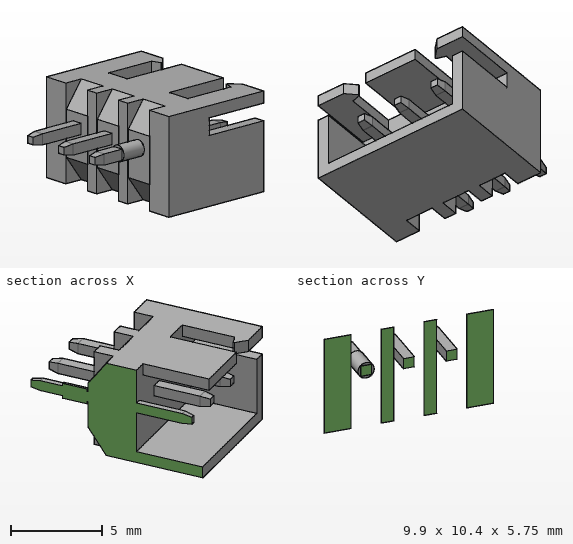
import cadquery as cq


HOUSING_WIDTH = 9.9
HOUSING_LENGTH = 7.0
HOUSING_HEIGHT = 5.75
WALL = 0.7
TOP_Z = 2.35
BOTTOM_Z = TOP_Z - HOUSING_HEIGHT
SIDE_X = HOUSING_WIDTH / 2

CAVITY_DEPTH = 4.0
CAVITY_FLOOR_Y = HOUSING_LENGTH - CAVITY_DEPTH
CAVITY_TOP_Z = TOP_Z - WALL
SIDE_SLOT_HEIGHT = 1.0
TOP_SLOT_WIDTH = 1.5
TOP_SLOT_INSET = 1.75

HOOK_REACH = 0.57
HOOK_TIP_SETBACK = HOOK_REACH
HOOK_TIP_FLAT = 0.08
HOOK_LENGTH = 0.83

RECESS_WIDTH = 1.75
RECESS_DEPTH = 0.05
RECESS_RIM_DEPTH = 1.15
RECESS_SLOPE_HEIGHT = 1.5

PIN_COUNT = 3
PIN_PITCH = 2.5
PIN_SIZE = 0.64
PIN_TIP_SIZE = 0.44
PIN_TIP_LENGTH = 0.58
PIN_TAIL = 3.4
PIN_SETBACK = 0.65

COLLAR_DIAMETER = 0.95
COLLAR_LENGTH = 1.5

PIN_XS = [(i - (PIN_COUNT - 1) / 2) * PIN_PITCH for i in range(PIN_COUNT)]


def box(x0, x1, y0, y1, z0, z1):
    """Axis-aligned box between two opposite corners."""
    return cq.Workplane("XY").box(x1 - x0, y1 - y0, z1 - z0, centered=False).translate((x0, y0, z0))


def make_shell():
    """Housing block with the mating cavity and the slot across both side walls."""
    block = box(-SIDE_X, SIDE_X, 0, HOUSING_LENGTH, BOTTOM_Z, TOP_Z)
    cavity = box(
        -SIDE_X + WALL, SIDE_X - WALL,
        CAVITY_FLOOR_Y, HOUSING_LENGTH,
        BOTTOM_Z + WALL, CAVITY_TOP_Z,
    )
    side_slots = box(
        -SIDE_X, SIDE_X,
        CAVITY_FLOOR_Y, HOUSING_LENGTH,
        CAVITY_TOP_Z - SIDE_SLOT_HEIGHT, CAVITY_TOP_Z,
    )
    return block.cut(cavity).cut(side_slots)


def make_left_top_slot():
    """Cutter for the slot in the top wall, leaving the hook on its outer edge."""
    outer_x = -SIDE_X + TOP_SLOT_INSET
    inner_x = outer_x + TOP_SLOT_WIDTH
    tip_x = outer_x + HOOK_REACH
    tip_y = HOUSING_LENGTH - HOOK_TIP_SETBACK
    return (
        cq.Workplane("XY", origin=(0, 0, CAVITY_TOP_Z))
        .moveTo(inner_x, HOUSING_LENGTH)
        .lineTo(inner_x, CAVITY_FLOOR_Y)
        .lineTo(outer_x, CAVITY_FLOOR_Y)
        .lineTo(outer_x, HOUSING_LENGTH - HOOK_LENGTH)
        .lineTo(tip_x, tip_y - HOOK_TIP_FLAT)
        .lineTo(tip_x, tip_y)
        .lineTo(outer_x, HOUSING_LENGTH)
        .close()
        .extrude(WALL)
    )


def make_recess(x):
    """Cutter for one pin recess: a shallow flat floor sloping deeper towards top and bottom."""
    return (
        cq.Workplane("YZ", origin=(x - RECESS_WIDTH / 2, 0, 0))
        .moveTo(0, BOTTOM_Z)
        .lineTo(RECESS_RIM_DEPTH, BOTTOM_Z)
        .lineTo(RECESS_DEPTH, BOTTOM_Z + RECESS_SLOPE_HEIGHT)
        .lineTo(RECESS_DEPTH, TOP_Z - RECESS_SLOPE_HEIGHT)
        .lineTo(RECESS_RIM_DEPTH, TOP_Z)
        .lineTo(0, TOP_Z)
        .close()
        .extrude(RECESS_WIDTH)
    )


def make_pin(x):
    """Square pin with a tapered tip at each end."""
    shank_start = -PIN_TAIL + PIN_TIP_LENGTH
    shank_end = HOUSING_LENGTH - PIN_SETBACK - PIN_TIP_LENGTH
    half = PIN_SIZE / 2
    pin = box(x - half, x + half, shank_start, shank_end, -half, half)
    for face in ("<Y", ">Y"):
        tip = (
            pin.faces(face)
            .workplane(centerOption="CenterOfMass")
            .rect(PIN_SIZE, PIN_SIZE)
            .workplane(offset=PIN_TIP_LENGTH)
            .rect(PIN_TIP_SIZE, PIN_TIP_SIZE)
            .loft(combine=False)
        )
        pin = pin.union(tip)
    return pin


def make_collar(x):
    """Round collar around a pin, standing just outside the mounting face."""
    return cq.Workplane("XZ", origin=(x, 0, 0)).circle(COLLAR_DIAMETER / 2).extrude(COLLAR_LENGTH)


left_top_slot = make_left_top_slot()
result = make_shell().cut(left_top_slot).cut(left_top_slot.mirror("YZ"))
for pin_x in PIN_XS:
    result = result.cut(make_recess(pin_x))
for pin_x in PIN_XS:
    result = result.union(make_pin(pin_x))
result = result.union(make_collar(PIN_XS[-1]))